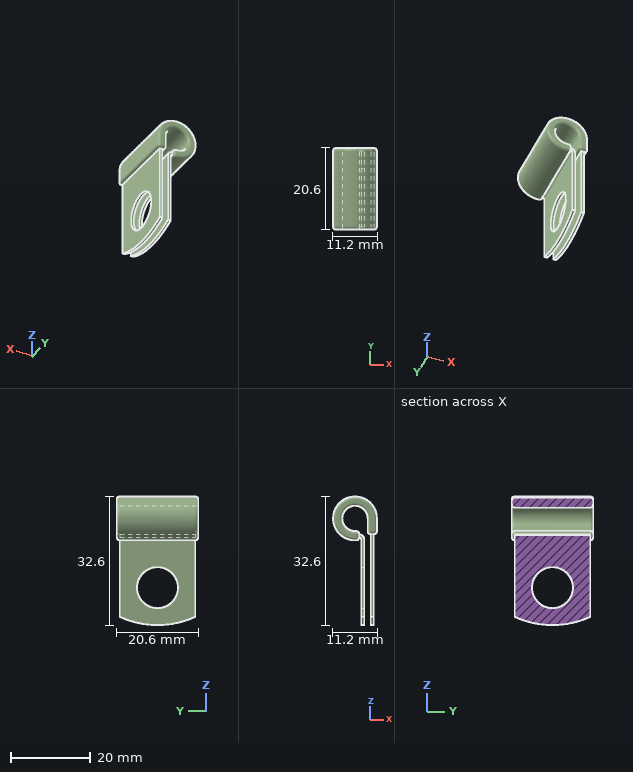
import cadquery as cq
import math

strap_thickness = 0.8
strap_width = 19.1
cushion_wall = 0.8
cushion_width = 20.64
cushion_fillet = 0.78
bore_radius = 3.175
cushion_leg_drop = 4.0
cushion_lip_length = 1.07
leg_gap = 1.6
bend_inner_radius = 0.6
tip_z = -27.005
tip_rise = 2.1
hole_diameter = 10.3
hole_z = -17.5

strap_inner_radius = bore_radius + cushion_wall
strap_outer_radius = strap_inner_radius + strap_thickness
cushion_outer_radius = strap_outer_radius + cushion_wall
cushion_middle_radius = (bore_radius + cushion_outer_radius) / 2
leg_end_center = (cushion_middle_radius, 0, -cushion_leg_drop)
lip_end_center = (cushion_lip_length, 0, -cushion_middle_radius)
bent_leg_outer_x = strap_inner_radius - leg_gap
bent_leg_inner_x = bent_leg_outer_x - strap_thickness
bend_outer_radius = bend_inner_radius + strap_thickness
bend_center_x = bent_leg_outer_x - bend_outer_radius
bend_center_z = -strap_inner_radius - bend_outer_radius


def loop_point(radius):
    """Point on the upper left of the loop, midway along its 270 degree sweep."""
    offset = radius * math.cos(math.pi / 4)
    return (-offset, offset)


def bend_point(radius):
    """Point midway along the quarter bend of the strap."""
    offset = radius * math.cos(math.pi / 4)
    return (bend_center_x + offset, bend_center_z + offset)


def centered_extrusion(profile, width):
    """Extrude an XZ profile evenly to both sides of the Y origin."""
    return profile.extrude(width / 2, both=True)


def make_cushion():
    """Hook-shaped cushion with rounded edges at its sides and ends."""
    profile = (
        cq.Workplane("XZ")
        .moveTo(cushion_outer_radius, -cushion_leg_drop)
        .lineTo(cushion_outer_radius, 0)
        .threePointArc(loop_point(cushion_outer_radius), (0, -cushion_outer_radius))
        .lineTo(cushion_lip_length, -cushion_outer_radius)
        .lineTo(cushion_lip_length, -bore_radius)
        .lineTo(0, -bore_radius)
        .threePointArc(loop_point(bore_radius), (bore_radius, 0))
        .lineTo(bore_radius, -cushion_leg_drop)
        .close()
    )
    body = centered_extrusion(profile, cushion_width)
    side_edges = body.faces("<Y or >Y").edges().vals()
    leg_end_edges = body.faces(cq.selectors.NearestToPointSelector(leg_end_center)).edges("|Y").vals()
    lip_end_edges = body.faces(cq.selectors.NearestToPointSelector(lip_end_center)).edges("|Y").vals()
    return body.newObject(side_edges + leg_end_edges + lip_end_edges).fillet(cushion_fillet)


def make_straight_leg():
    """Strap leg running straight down from the loop."""
    profile = (
        cq.Workplane("XZ")
        .moveTo(strap_inner_radius, 0)
        .lineTo(strap_outer_radius, 0)
        .lineTo(strap_outer_radius, tip_z)
        .lineTo(strap_inner_radius, tip_z)
        .close()
    )
    return centered_extrusion(profile, strap_width)


def make_bent_leg():
    """Strap leg leaving the loop sideways and bending straight down."""
    profile = (
        cq.Workplane("XZ")
        .moveTo(0, -strap_inner_radius)
        .lineTo(bend_center_x, -strap_inner_radius)
        .threePointArc(bend_point(bend_outer_radius), (bent_leg_outer_x, bend_center_z))
        .lineTo(bent_leg_outer_x, tip_z)
        .lineTo(bent_leg_inner_x, tip_z)
        .lineTo(bent_leg_inner_x, bend_center_z)
        .threePointArc(bend_point(bend_inner_radius), (bend_center_x, -strap_outer_radius))
        .lineTo(0, -strap_outer_radius)
        .close()
    )
    return centered_extrusion(profile, strap_width)


def make_leg_outline():
    """Block along X with the leg outline: flat sides, arched tip, bolt hole."""
    half_width = strap_width / 2
    outline = (
        cq.Workplane("YZ")
        .moveTo(-half_width, 0)
        .lineTo(-half_width, tip_z + tip_rise)
        .threePointArc((0, tip_z), (half_width, tip_z + tip_rise))
        .lineTo(half_width, 0)
        .close()
        .extrude(cushion_outer_radius)
    )
    hole = (
        cq.Workplane("YZ")
        .center(0, hole_z)
        .circle(hole_diameter / 2)
        .extrude(cushion_outer_radius)
    )
    return outline.cut(hole)


legs = make_straight_leg().union(make_bent_leg()).intersect(make_leg_outline())
result = make_cushion().union(legs)